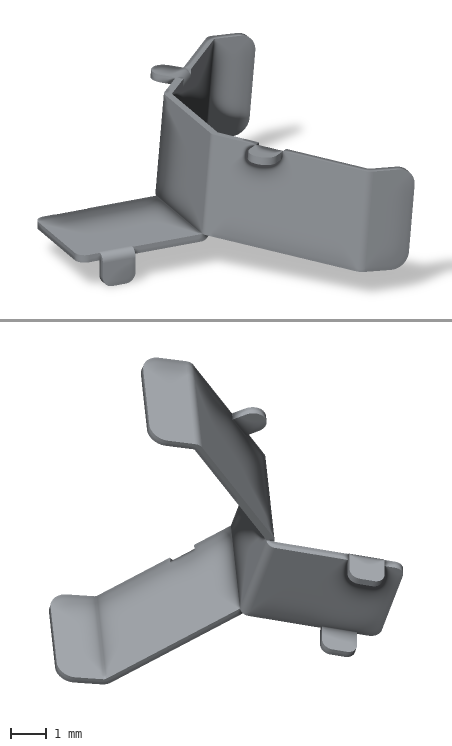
import cadquery as cq
import math

THICKNESS = 0.22
INNER_RADIUS = 0.02
OUTER_RADIUS = INNER_RADIUS + THICKNESS
TAB_ROOT = 2 * OUTER_RADIUS

OVERALL_WIDTH = 10.7
LEAN = 5.0
WALL_HEIGHT = 3.01
CENTRE_WIDTH = 3.0
ARM_ANGLE = 40.0
TIP_ANGLE = 87.5
TIP_INNER_RADIUS = 0.1
TIP_OUTER_RADIUS = TIP_INNER_RADIUS + THICKNESS
TIP_FLAT = 1.3
TIP_CORNER_RADIUS = 0.5

ARM_TAB_WIDTH = 0.83
ARM_TAB_REACH = 0.8
ARM_TAB_POSITION = 1.68
ARM_TAB_CORNER_RADIUS = 0.4

FLOOR_LENGTH = 3.77
FLOOR_CORNER_RADIUS = 0.3

FLOOR_TAB_LENGTH = 1.01
FLOOR_TAB_END_GAP = 0.64
FLOOR_TAB_DEPTH = 1.0
FLOOR_TAB_CORNER_RADIUS = 0.3
FLOOR_TAB_OUTER_X = 1.67

HALF_WIDTH = CENTRE_WIDTH / 2
FLOOR_BEND = 90 - LEAN
FLOOR_TAB_Y = -FLOOR_LENGTH + FLOOR_TAB_END_GAP + FLOOR_TAB_LENGTH / 2
WALL_BOTTOM = INNER_RADIUS * math.tan(math.radians(FLOOR_BEND / 2))
WALL_TOP = WALL_BOTTOM + WALL_HEIGHT


def step(point, angle, distance):
    """Move a distance from a point, in a direction given in degrees."""
    turn = math.radians(angle)
    return (point[0] + distance * math.cos(turn), point[1] + distance * math.sin(turn))


def setback(outer_radius, bend_angle):
    """Distance from the sharp outer corner of a bend to the start of its round."""
    return outer_radius * math.tan(math.radians(bend_angle / 2))


def across_bend(corner, angle_before, angle_after):
    """Matching corner on the far face of the sheet, to the left of the direction of travel."""
    miter = THICKNESS / math.cos(math.radians((angle_after - angle_before) / 2))
    return step(corner, (angle_before + angle_after) / 2 + 90, miter)


def round_edge(body, point, radius):
    """Fillet the edge whose middle lies nearest to a point."""
    return body.edges(cq.NearestToPointSelector(point)).fillet(radius)


arm_setback = setback(OUTER_RADIUS, ARM_ANGLE)
tip_setback = setback(TIP_OUTER_RADIUS, TIP_ANGLE - ARM_ANGLE)
arm_corner = (HALF_WIDTH + arm_setback, 0)
arm_start = step(arm_corner, ARM_ANGLE, arm_setback)
tip_length = tip_setback + TIP_FLAT
tip_corner_x = OVERALL_WIDTH / 2 - tip_length * math.cos(math.radians(TIP_ANGLE))
tip_corner_y = (tip_corner_x - arm_corner[0]) * math.tan(math.radians(ARM_ANGLE))
tip_corner = (tip_corner_x, tip_corner_y)
tip_end = step(tip_corner, TIP_ANGLE, tip_length)


def make_half_wall():
    """Right half of the wall, upright, with rounded bends and tip corners."""
    arm_inner = across_bend(arm_corner, 0, ARM_ANGLE)
    tip_inner = across_bend(tip_corner, ARM_ANGLE, TIP_ANGLE)
    tip_end_inner = step(tip_end, TIP_ANGLE + 90, THICKNESS)
    outline = [(0, 0), arm_corner, tip_corner, tip_end, tip_end_inner, tip_inner, arm_inner, (0, THICKNESS)]
    wall = cq.Workplane("XY").workplane(offset=WALL_BOTTOM).polyline(outline).close().extrude(WALL_HEIGHT)

    mid_height = WALL_BOTTOM + WALL_HEIGHT / 2
    bends = [
        (arm_corner, OUTER_RADIUS),
        (tip_corner, TIP_OUTER_RADIUS),
        (arm_inner, INNER_RADIUS),
        (tip_inner, TIP_INNER_RADIUS),
    ]
    for corner, radius in bends:
        wall = round_edge(wall, (*corner, mid_height), radius)

    tip_end_middle = step(tip_end, TIP_ANGLE + 90, THICKNESS / 2)
    for height in (WALL_BOTTOM, WALL_TOP):
        wall = round_edge(wall, (*tip_end_middle, height), TIP_CORNER_RADIUS)
    return wall


def make_fold(root_length, flap_length, width):
    """L-shaped fold with its outer corner on the X axis, its root along -Z and its flap along -Y."""
    profile = [
        (0, 0),
        (0, -root_length),
        (-THICKNESS, -root_length),
        (-THICKNESS, -THICKNESS),
        (-flap_length, -THICKNESS),
        (-flap_length, 0),
    ]
    fold = cq.Workplane("YZ").polyline(profile).close().extrude(width / 2, both=True)
    fold = round_edge(fold, (0, 0, 0), OUTER_RADIUS)
    return round_edge(fold, (0, -THICKNESS, -THICKNESS), INNER_RADIUS)


def make_arm_tab():
    """Round-ended tab, with the arm along X and the arm's front face on Y = 0."""
    tab = make_fold(TAB_ROOT, ARM_TAB_REACH + THICKNESS, ARM_TAB_WIDTH)
    for end in (-1, 1):
        end_corner = (end * ARM_TAB_WIDTH / 2, -ARM_TAB_REACH - THICKNESS, -THICKNESS / 2)
        tab = round_edge(tab, end_corner, ARM_TAB_CORNER_RADIUS)
    return tab.translate((0, THICKNESS, WALL_TOP))


def make_arm_tab_gap():
    """Stretch of the arm's top edge that the tab's bend replaces."""
    gap = cq.Workplane("XY").box(ARM_TAB_WIDTH, THICKNESS, OUTER_RADIUS, centered=(True, False, False))
    return gap.translate((0, 0, WALL_TOP - OUTER_RADIUS))


def place_on_arm(body):
    """Move a body drawn along X to the tab's place on the right arm."""
    place = step(arm_start, ARM_ANGLE, ARM_TAB_POSITION)
    return body.rotate((0, 0, 0), (0, 0, 1), ARM_ANGLE).translate((*place, 0))


def make_wall():
    """Both halves of the wall with their arm tabs, leaning back."""
    half = make_half_wall().cut(place_on_arm(make_arm_tab_gap())).union(place_on_arm(make_arm_tab()))
    wall = half.union(half.mirror("YZ"))
    return wall.rotate((0, 0, 0), (1, 0, 0), -LEAN)


def make_floor():
    """Floor plate with its top on Z = 0, bent up into the centre panel."""
    panel_top = step((0, 0), FLOOR_BEND, WALL_TOP)
    panel_top_back = step(panel_top, FLOOR_BEND - 90, THICKNESS)
    back_corner = across_bend((0, 0), FLOOR_BEND + 180, 180)
    profile = [
        (-FLOOR_LENGTH, 0),
        (0, 0),
        panel_top,
        panel_top_back,
        back_corner,
        (-FLOOR_LENGTH, -THICKNESS),
    ]
    floor = cq.Workplane("YZ").polyline(profile).close().extrude(HALF_WIDTH, both=True)
    floor = round_edge(floor, (0, 0, 0), INNER_RADIUS)
    floor = round_edge(floor, (0, *back_corner), OUTER_RADIUS)
    for side in (-1, 1):
        end_corner = (side * HALF_WIDTH, -FLOOR_LENGTH, -THICKNESS / 2)
        floor = round_edge(floor, end_corner, FLOOR_CORNER_RADIUS)
    return floor


def make_floor_tab():
    """Tab hanging from the right side of the floor."""
    tab = make_fold(FLOOR_TAB_DEPTH, TAB_ROOT, FLOOR_TAB_LENGTH)
    for end in (-1, 1):
        bottom_corner = (end * FLOOR_TAB_LENGTH / 2, -THICKNESS / 2, -FLOOR_TAB_DEPTH)
        tab = round_edge(tab, bottom_corner, FLOOR_TAB_CORNER_RADIUS)
    return tab.rotate((0, 0, 0), (0, 0, 1), -90).translate((FLOOR_TAB_OUTER_X, FLOOR_TAB_Y, 0))


def make_floor_tab_gap():
    """Strip of the floor's right side that the tab's bend replaces."""
    gap = cq.Workplane("XY").box(OUTER_RADIUS, FLOOR_TAB_LENGTH, THICKNESS, centered=(False, True, False))
    return gap.translate((FLOOR_TAB_OUTER_X - OUTER_RADIUS, FLOOR_TAB_Y, -THICKNESS))


floor_tab = make_floor_tab()
floor_tab_gap = make_floor_tab_gap()

floor = make_floor().cut(floor_tab_gap).cut(floor_tab_gap.mirror("YZ"))
result = make_wall().union(floor).union(floor_tab).union(floor_tab.mirror("YZ")).clean()